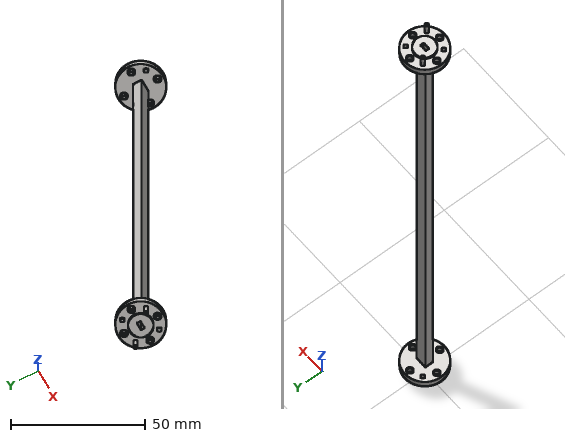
import cadquery as cq
import math

overall_length = 237.13
face_to_face = 228.6

bore_width = 3.10
bore_height = 1.55
wall = 1.016
tube_width = bore_width + 2 * wall
tube_height = bore_height + 2 * wall

flange_diameter = 19.05
flange_thickness = 3.25
boss_diameter = 9.53
boss_height = 0.8

hole_circle_radius = 14.29 / 2
screw_hole_diameter = 2.26
screw_countersink_diameter = 2.85
pin_hole_diameter = 1.7
pin_diameter = 1.56
pin_tip_chamfer = 0.2

screw_angles = (0, 90, 180, 270)
pin_hole_angles = (45, 225)
pin_angles = (135, 315)

boss_face_z = face_to_face / 2
flange_face_z = boss_face_z - boss_height
flange_back_z = flange_face_z - flange_thickness
pin_tip_z = overall_length / 2


def on_hole_circle(angles):
    """XY points on the hole circle at the given angles in degrees."""
    return [
        (
            hole_circle_radius * math.cos(math.radians(angle)),
            hole_circle_radius * math.sin(math.radians(angle)),
        )
        for angle in angles
    ]


def cylinders(diameter, angles, bottom_z, top_z):
    """Upright cylinders on the hole circle between two heights."""
    return (
        cq.Workplane("XY", origin=(0, 0, bottom_z))
        .pushPoints(on_hole_circle(angles))
        .circle(diameter / 2)
        .extrude(top_z - bottom_z)
    )


def screw_hole_cutters():
    """Screw holes through the flange, with a 45 degree countersink at each end."""
    hole_radius = screw_hole_diameter / 2
    rim_radius = screw_countersink_diameter / 2
    depth = rim_radius - hole_radius
    profile = (
        cq.Workplane("XZ")
        .moveTo(0, flange_back_z)
        .lineTo(rim_radius, flange_back_z)
        .lineTo(hole_radius, flange_back_z + depth)
        .lineTo(hole_radius, flange_face_z - depth)
        .lineTo(rim_radius, flange_face_z)
        .lineTo(0, flange_face_z)
        .close()
    )
    cutter = profile.revolve(360, (0, 0, 0), (0, 1, 0)).val()
    return (
        cq.Workplane("XY")
        .pushPoints(on_hole_circle(screw_angles))
        .eachpoint(lambda place: cutter.moved(place))
    )


def make_flange():
    """Upper flange with its boss, holes and alignment pins."""
    disc = (
        cq.Workplane("XY", origin=(0, 0, flange_back_z))
        .circle(flange_diameter / 2)
        .extrude(flange_thickness)
    )
    boss = (
        cq.Workplane("XY", origin=(0, 0, flange_face_z))
        .circle(boss_diameter / 2)
        .extrude(boss_height)
    )
    pins = cylinders(pin_diameter, pin_angles, flange_back_z, pin_tip_z)
    pins = pins.faces(">Z").chamfer(pin_tip_chamfer)
    pin_holes = cylinders(pin_hole_diameter, pin_hole_angles, flange_back_z, flange_face_z)
    flange = disc.union(boss)
    flange = flange.cut(screw_hole_cutters()).cut(pin_holes)
    return flange.union(pins)


def make_tube():
    """Solid outer body of the waveguide, between the flange backs."""
    return cq.Workplane("XY").box(tube_width, tube_height, 2 * flange_back_z)


def make_bore():
    """Rectangular channel from boss face to boss face."""
    return cq.Workplane("XY").box(bore_width, bore_height, face_to_face)


upper_flange = make_flange()
lower_flange = upper_flange.rotate((0, 0, 0), (1, 0, 0), 180)

result = make_tube().union(upper_flange).union(lower_flange).cut(make_bore())